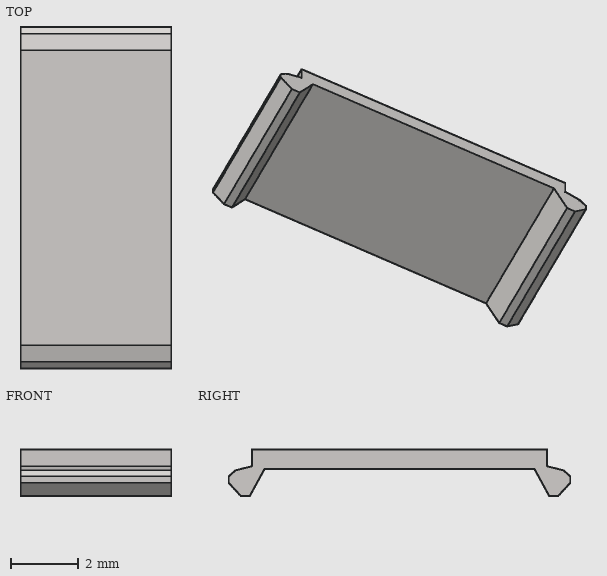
import cadquery as cq

width = 4.5
length = 10.2
height = 1.4

plate_length = 8.81
plate_thickness = 0.59
plate_edge_height = 0.5

hook_shoulder_height = 0.78
hook_shoulder_inset = 0.2
hook_tip_top = 0.59
hook_tip_bottom = 0.4
foot_outer_inset = 0.37
foot_inner_inset = 0.63
foot_root_inset = 1.07

half_length = length / 2
half_plate = plate_length / 2

end_outline = [
    (half_plate, height),
    (half_plate, height - plate_edge_height),
    (half_length - hook_shoulder_inset, hook_shoulder_height),
    (half_length, hook_tip_top),
    (half_length, hook_tip_bottom),
    (half_length - foot_outer_inset, 0),
    (half_length - foot_inner_inset, 0),
    (half_length - foot_root_inset, height - plate_thickness),
]
mirrored_outline = [(-y, z) for y, z in reversed(end_outline)]

result = (
    cq.Workplane("YZ")
    .polyline(end_outline + mirrored_outline)
    .close()
    .extrude(width / 2, both=True)
)